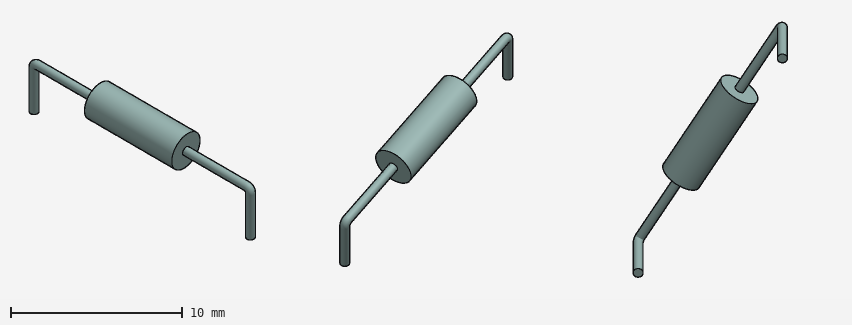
import cadquery as cq

overall_length = 17.39
body_diameter = 2.5
body_length = 6.78
wire_diameter = 0.59
foot_depth = 3.75
inner_bend_radius = 0.003

wire_radius = wire_diameter / 2
bend_radius = wire_radius + inner_bend_radius
leg_x = overall_length / 2 - wire_radius


def make_body():
    """Plain cylinder along X, centred on the origin."""
    return cq.Workplane("YZ", origin=(-body_length / 2, 0, 0)).circle(body_diameter / 2).extrude(body_length)


def make_lead():
    """Lead on the +X side: straight run from the body end, tight quarter bend, leg pointing down."""
    run_start = body_length / 2
    centreline = (
        cq.Workplane("XZ")
        .moveTo(run_start, 0)
        .lineTo(leg_x - bend_radius, 0)
        .tangentArcPoint((leg_x, -bend_radius), relative=False)
        .lineTo(leg_x, -foot_depth)
    )
    return cq.Workplane("YZ", origin=(run_start, 0, 0)).circle(wire_radius).sweep(centreline)


body = make_body()
leads = []
for turn in (0, 180):
    lead = make_lead().rotate((0, 0, 0), (0, 0, 1), turn)
    leads.append(lead.val())

result = cq.Compound.makeCompound([body.val(), *leads])